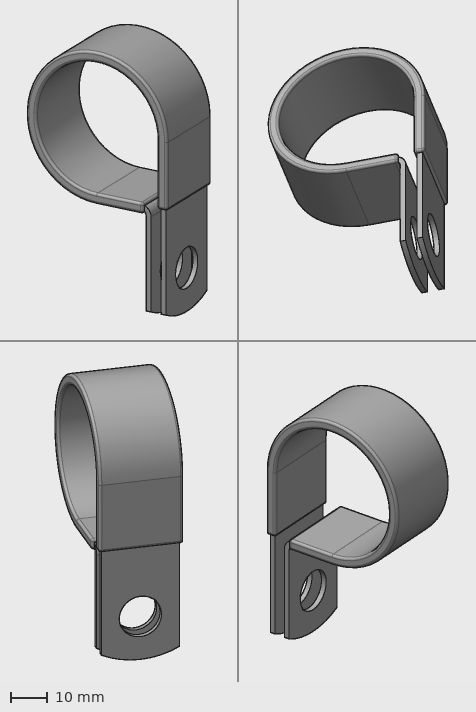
import cadquery as cq
import math

total_height = 75.3
loop_radius = 22.15
cushion_thickness = 3.1
cushion_width = 23.8
cushion_round = 0.75
lower_arm_end = 14.6
upright_arm_end = -19.9

strap_thickness = 1.6
strap_width = 22.1
bend_inner_radius = 1.5
bent_leg_x = 15.8
tip_sagitta = 2.55
hole_diameter = 11.9
hole_above_tip = 12.7

mid_radius = loop_radius - cushion_thickness / 2
inner_radius = loop_radius - cushion_thickness
tip_z = loop_radius - total_height
half_strap = strap_thickness / 2
bend_outer_radius = bend_inner_radius + strap_thickness


def arc_point(radius):
    """Middle of the 270 degree arc, at the upper left of the loop."""
    reach = radius * math.sqrt(0.5)
    return (-reach, reach)


def make_cushion():
    """Loop with two tangent arms and every edge rounded."""
    return (
        cq.Workplane("XZ")
        .moveTo(loop_radius, upright_arm_end)
        .lineTo(loop_radius, 0)
        .threePointArc(arc_point(loop_radius), (0, -loop_radius))
        .lineTo(lower_arm_end, -loop_radius)
        .lineTo(lower_arm_end, -inner_radius)
        .lineTo(0, -inner_radius)
        .threePointArc(arc_point(inner_radius), (inner_radius, 0))
        .lineTo(inner_radius, upright_arm_end)
        .close()
        .extrude(cushion_width / 2, both=True)
        .edges()
        .fillet(cushion_round)
    )


def make_straight_leg():
    """Vertical strap leg leaving the upright cushion arm."""
    top_z = upright_arm_end + cushion_thickness
    return (
        cq.Workplane("XY", origin=(mid_radius, 0, tip_z))
        .rect(strap_thickness, strap_width)
        .extrude(top_z - tip_z)
    )


def make_bent_leg():
    """Strap leg that leaves the lower arm and bends downwards."""
    start_x = lower_arm_end - cushion_thickness
    outer_x = bent_leg_x + half_strap
    inner_x = bent_leg_x - half_strap
    top_z = half_strap - mid_radius
    under_z = -half_strap - mid_radius
    bend_z = top_z - bend_outer_radius
    bend_x = outer_x - bend_outer_radius
    return (
        cq.Workplane("XZ")
        .moveTo(start_x, top_z)
        .lineTo(bend_x, top_z)
        .radiusArc((outer_x, bend_z), bend_outer_radius)
        .lineTo(outer_x, tip_z)
        .lineTo(inner_x, tip_z)
        .lineTo(inner_x, bend_z)
        .radiusArc((bend_x, under_z), -bend_inner_radius)
        .lineTo(start_x, under_z)
        .close()
        .extrude(strap_width / 2, both=True)
    )


def make_leg_outline():
    """Side profile shared by both legs: straight sides and a curved tip."""
    half_width = strap_width / 2
    shoulder_z = tip_z + tip_sagitta
    return (
        cq.Workplane("YZ")
        .moveTo(-half_width, 0)
        .lineTo(-half_width, shoulder_z)
        .threePointArc((0, tip_z), (half_width, shoulder_z))
        .lineTo(half_width, 0)
        .close()
        .extrude(loop_radius)
    )


def make_bolt_hole():
    """Cylinder that passes through both legs along X."""
    return (
        cq.Workplane("YZ")
        .center(0, tip_z + hole_above_tip)
        .circle(hole_diameter / 2)
        .extrude(loop_radius)
    )


legs = make_straight_leg().union(make_bent_leg()).intersect(make_leg_outline()).cut(make_bolt_hole())
result = make_cushion().union(legs)